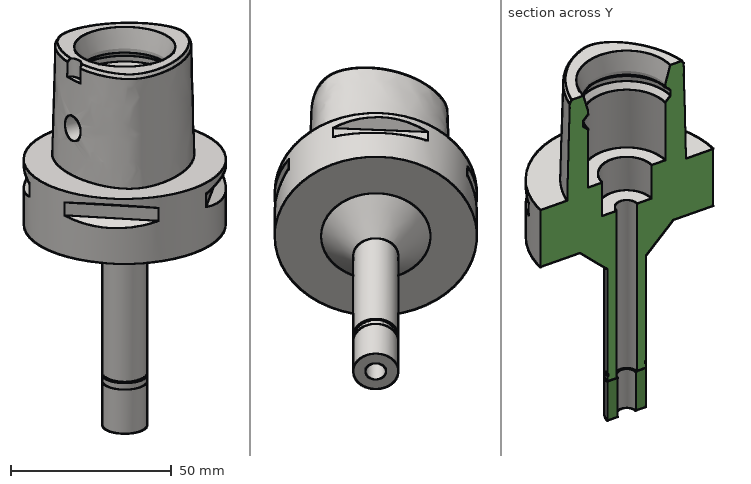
import cadquery as cq
import math

total_height = 128.0
joint_height = 15.0
cone_bottom = 58.0
flange_bottom = 68.0
flange_top = 90.0

shank_radius = 7.0
cone_top_radius = shank_radius + (flange_bottom - cone_bottom)
flange_radius = 31.5

relief_bottom = 17.2
relief_width = 0.4
relief_depth = 0.4

polygon_base_radius = 22.1
radius_per_height = 1 / 40
lobe = 1.4
polygon_points = 72
chamfer_height = 1.3
chamfer_inset = 0.8

mouth_radius = 15.7
bore_radius = 14.0
mouth_depth = 6.7
lip_depth = 8.0
groove_radius = 15.9
groove_bottom_depth = 11.8
groove_slope = groove_radius - bore_radius
bore_floor = 92.2
inner_bore_radius = 9.0
inner_bore_floor = 79.4
coolant_radius = 3.7
tip_hole_radius = 3.2

notch_radius = 4.0
notch_center_y = -21.8
notch_depth = 6.1
cross_hole_radius = 4.1
cross_hole_height = 105.6
cross_hole_end_y = 0.0

slot_count = 4
slot_height = 84.0
slot_floor_distance = 27.8
slot_floor_half_width = 2.2
slot_mouth_half_width = 4.0


def lobed_wire(radius, height):
    """Constant-width three-lobed curve, with one lobe on +Y."""
    points = []
    for i in range(polygon_points):
        angle = 2 * math.pi * i / polygon_points
        support = radius - lobe * math.sin(3 * angle)
        slope = -3 * lobe * math.cos(3 * angle)
        x = support * math.cos(angle) - slope * math.sin(angle)
        y = support * math.sin(angle) + slope * math.cos(angle)
        points.append(cq.Vector(x, y, height))
    return cq.Wire.assembleEdges([cq.Edge.makeSpline(points, periodic=True)])


def polygon_radius(height):
    return polygon_base_radius - radius_per_height * (height - flange_top)


def make_polygon():
    chamfer_start = total_height - chamfer_height
    base = lobed_wire(polygon_base_radius, flange_top)
    shoulder = lobed_wire(polygon_radius(chamfer_start), chamfer_start)
    top = lobed_wire(polygon_radius(chamfer_start) - chamfer_inset, total_height)
    taper = cq.Solid.makeLoft([base, shoulder], True)
    chamfer = cq.Solid.makeLoft([shoulder, top], True)
    return cq.Workplane(taper).union(cq.Workplane(chamfer))


def revolve_profile(points):
    """Turn an (r, z) outline about the Z axis."""
    return cq.Workplane("XZ").polyline(points).close().revolve(360, (0, 0, 0), (0, 1, 0))


def make_flange_and_shank():
    relief_top = relief_bottom + relief_width
    relief_radius = shank_radius - relief_depth
    return revolve_profile([
        (0, joint_height),
        (shank_radius, joint_height),
        (shank_radius, relief_bottom),
        (relief_radius, relief_bottom),
        (relief_radius, relief_top),
        (shank_radius, relief_top),
        (shank_radius, cone_bottom),
        (cone_top_radius, flange_bottom),
        (flange_radius, flange_bottom),
        (flange_radius, flange_top),
        (0, flange_top),
    ])


def make_bore():
    groove_bottom = total_height - groove_bottom_depth
    lip_bottom = total_height - lip_depth
    return revolve_profile([
        (0, total_height),
        (mouth_radius, total_height),
        (bore_radius, total_height - mouth_depth),
        (bore_radius, lip_bottom),
        (groove_radius, lip_bottom - groove_slope),
        (groove_radius, groove_bottom),
        (bore_radius, groove_bottom - groove_slope),
        (bore_radius, bore_floor),
        (inner_bore_radius, bore_floor),
        (inner_bore_radius, inner_bore_floor),
        (coolant_radius, inner_bore_floor),
        (coolant_radius, joint_height),
        (0, joint_height),
    ])


def make_notch():
    return (
        cq.Workplane("XY", origin=(0, notch_center_y, total_height - notch_depth))
        .circle(notch_radius)
        .extrude(notch_depth)
    )


def make_cross_hole():
    return (
        cq.Workplane("XZ", origin=(0, cross_hole_end_y, cross_hole_height))
        .circle(cross_hole_radius)
        .extrude(flange_radius)
    )


def make_slot(angle):
    """Straight slot with flared sides, cut across the flange rim."""
    return (
        cq.Workplane("XZ")
        .polyline([
            (slot_floor_distance, slot_height - slot_floor_half_width),
            (flange_radius, slot_height - slot_mouth_half_width),
            (flange_radius, slot_height + slot_mouth_half_width),
            (slot_floor_distance, slot_height + slot_floor_half_width),
        ])
        .close()
        .extrude(flange_radius, both=True)
        .rotate((0, 0, 0), (0, 0, 1), angle)
    )


def make_holder():
    holder = make_flange_and_shank().union(make_polygon())
    holder = holder.cut(make_bore()).cut(make_notch()).cut(make_cross_hole())
    slot_spacing = 360 / slot_count
    for i in range(slot_count):
        holder = holder.cut(make_slot((i + 0.5) * slot_spacing))
    return holder


def make_tip():
    """Plain end piece with a through hole, seated against the shank."""
    return cq.Workplane("XY").circle(shank_radius).circle(tip_hole_radius).extrude(joint_height)


holder = make_holder()
tip = make_tip()
result = cq.Compound.makeCompound([holder.val(), tip.val()])